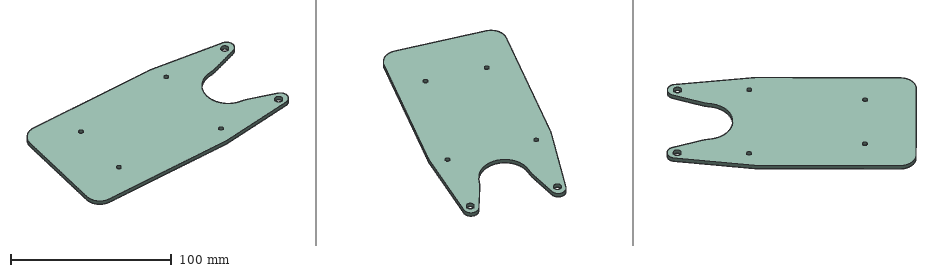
import cadquery as cq
import math

length = 155.0
width = 80.0
thickness = 3.0
corner_radius = 10.0
shoulder_y = 100.3
shoulder_radius = 15.0

tip_radius = 5.0
tip_x = 28.5
tip_y = length - tip_radius

throat_radius = 16.3
throat_bottom_y = 114.2
throat_y = throat_bottom_y + throat_radius
throat_blend_radius = 24.8

prong_hole_diameter = 5.0
prong_hole_y = 148.6
small_hole_diameter = 3.0
upper_hole_x = 29.0
upper_hole_y = 104.0
lower_hole_x = 20.0
lower_hole_y = 32.0


def tip_tangent(point, side):
    """Tangent point on the right-hand tip from an outside point; side is +1 outer, -1 inner."""
    dx = point[0] - tip_x
    dy = point[1] - tip_y
    angle = math.atan2(dy, dx) + side * math.acos(tip_radius / math.hypot(dx, dy))
    return (tip_x + tip_radius * math.cos(angle), tip_y + tip_radius * math.sin(angle))


def mirrored(point):
    return (-point[0], point[1])


def make_plate():
    corner = (width / 2, 0)
    shoulder = (width / 2, shoulder_y)
    throat_edge = (throat_radius, throat_y)
    tip_top = (tip_x, length)
    tip_outer = tip_tangent(shoulder, 1)
    tip_inner = tip_tangent(throat_edge, -1)
    plate = (
        cq.Workplane("XY")
        .moveTo(*mirrored(corner))
        .lineTo(*corner)
        .lineTo(*shoulder)
        .lineTo(*tip_outer)
        .threePointArc(tip_top, tip_inner)
        .lineTo(*throat_edge)
        .threePointArc((0, throat_bottom_y), mirrored(throat_edge))
        .lineTo(*mirrored(tip_inner))
        .threePointArc(mirrored(tip_top), mirrored(tip_outer))
        .lineTo(*mirrored(shoulder))
        .close()
        .extrude(thickness)
    )
    for point, radius in (
        (corner, corner_radius),
        (shoulder, shoulder_radius),
        (throat_edge, throat_blend_radius),
    ):
        for x, y in (point, mirrored(point)):
            edge = cq.selectors.NearestToPointSelector((x, y, thickness / 2))
            plate = plate.edges("|Z").edges(edge).fillet(radius)
    return plate


def drill_pair(plate, x, y, diameter):
    holes = (
        cq.Workplane("XY")
        .pushPoints([(-x, y), (x, y)])
        .circle(diameter / 2)
        .extrude(thickness)
    )
    return plate.cut(holes)


result = make_plate()
result = drill_pair(result, tip_x, prong_hole_y, prong_hole_diameter)
result = drill_pair(result, upper_hole_x, upper_hole_y, small_hole_diameter)
result = drill_pair(result, lower_hole_x, lower_hole_y, small_hole_diameter)